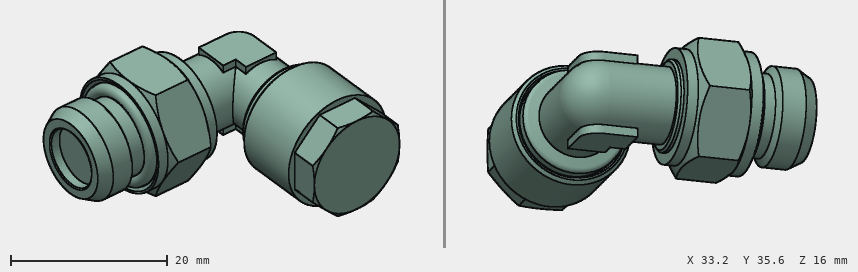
import cadquery as cq
import math


tube_radius = 5.02

pad_height = 5.5
pad_back = 2.53
pad_length = 4.52
pad_notch = 2.45

lip_start = 8.9
lip_radius = 6.0
lip_chamfer = 0.32
collar_start = 9.6
collar_radius = 7.5
hex_start = 11.05
hex_flats = 16.0
flange_start = 18.08
flange_end = 19.6
flange_radius = hex_flats / 2
recess_rim_radius = 7.7
recess_floor_radius = 7.15
recess_depth = 0.43
seal_end = 20.32
seal_thickness = 1.78
seal_radius = 7.15
neck_radius = 5.48
neck_end = 22.05
thread_radius = 6.5
thread_start = 22.7
thread_chamfer_start = 25.85
thread_tip_radius = 5.5
arm_end = 27.6
bore_radius = 4.1
bore_depth = 1.5
bore_chamfer = 0.18

shoulder_start = 8.75
shoulder_cone_end = 9.0
shoulder_cone_radius = 6.37
shoulder_round_end = 9.5
shoulder_radius = 6.95
nut_start = 10.5
nut_recess_radius = 7.22
nut_recess_depth = 0.35
nut_tip_radius = 7.5
nut_chamfer_end = 10.95
nut_radius = hex_flats / 2
nut_end = 20.0
octagon_flats = 14.0
octagon_end = 24.0
octagon_tip_radius = octagon_flats / 2
octagon_sides = 8

corner_chamfer_angle = 30
chamfer_slope = math.tan(math.radians(corner_chamfer_angle))


def turned_y(profile):
    """Solid turned about the threaded arm; profile holds (distance, radius) pairs."""
    points = [(radius, -distance) for distance, radius in profile]
    axis_points = [(0, points[-1][1]), (0, points[0][1])]
    outline = cq.Workplane("XY").polyline(points + axis_points).close()
    return outline.revolve(360, (0, 0, 0), (0, 1, 0))


def turned_x(profile):
    """Solid turned about the nut arm; profile holds (distance, radius) pairs."""
    axis_points = [(profile[-1][0], 0), (profile[0][0], 0)]
    outline = cq.Workplane("XY").polyline(profile + axis_points).close()
    return outline.revolve(360, (0, 0, 0), (1, 0, 0))


def elbow():
    """Two tubes joined by a ball at the corner."""
    ball = cq.Workplane("XY").sphere(tube_radius)
    tube_y = turned_y([(0, tube_radius), (lip_start, tube_radius)])
    tube_x = turned_x([(0, tube_radius), (shoulder_start, tube_radius)])
    return ball.union(tube_y).union(tube_x)


def wrench_pads():
    """L-shaped flats standing proud of the elbow on both sides."""
    arc_middle = pad_back * math.sqrt(0.5)
    return (
        cq.Workplane("XY")
        .workplane(offset=-pad_height)
        .moveTo(-pad_back, 0)
        .threePointArc((-arc_middle, arc_middle), (0, pad_back))
        .lineTo(pad_length, pad_back)
        .lineTo(pad_length, -pad_notch)
        .lineTo(pad_notch, -pad_notch)
        .lineTo(pad_notch, -pad_length)
        .lineTo(-pad_back, -pad_length)
        .close()
        .extrude(2 * pad_height)
    )


def hex_body():
    """Hexagon with flats facing +Z and -Z and its corners turned down at both ends."""
    corner_radius = hex_flats / math.sqrt(3)
    prism = (
        cq.Workplane("XZ")
        .workplane(offset=hex_start)
        .polygon(6, 2 * corner_radius)
        .extrude(flange_start - hex_start)
    )
    front_chamfer = (corner_radius - collar_radius) * chamfer_slope
    rear_chamfer = (corner_radius - flange_radius) * chamfer_slope
    envelope = turned_y([
        (hex_start, collar_radius),
        (hex_start + front_chamfer, corner_radius),
        (flange_start - rear_chamfer, corner_radius),
        (flange_start, flange_radius),
    ])
    return prism.intersect(envelope)


def seal_ring():
    """Round-section ring seated in the flange recess around the neck."""
    section_radius = seal_thickness / 2
    section = cq.Workplane("XY").moveTo(seal_radius - section_radius, section_radius - seal_end)
    return section.circle(section_radius).revolve(360, (0, 0, 0), (0, 1, 0))


def threaded_arm():
    """Lip, collar, hexagon, flange, sealing ring, neck and thread with a blind bore."""
    collars = turned_y([
        (lip_start, lip_radius - lip_chamfer),
        (lip_start + lip_chamfer, lip_radius),
        (collar_start, lip_radius),
        (collar_start, collar_radius),
        (hex_start, collar_radius),
    ])
    flange = turned_y([
        (flange_start, flange_radius),
        (flange_end, flange_radius),
        (flange_end, recess_rim_radius),
        (flange_end - recess_depth, recess_floor_radius),
    ])
    thread = turned_y([
        (flange_start, neck_radius),
        (neck_end, neck_radius),
        (thread_start, thread_radius),
        (thread_chamfer_start, thread_radius),
        (arm_end, thread_tip_radius),
    ])
    bore = turned_y([
        (arm_end - bore_depth, bore_radius),
        (arm_end - bore_chamfer, bore_radius),
        (arm_end, bore_radius + bore_chamfer),
    ])
    arm = collars.union(hex_body()).union(flange).union(thread).union(seal_ring())
    return arm.cut(bore)


def octagon_end_piece():
    """Octagon with flats facing Y and Z and its end corners turned down."""
    corner_radius = octagon_tip_radius / math.cos(math.pi / octagon_sides)
    prism = (
        cq.Workplane("YZ")
        .workplane(offset=nut_end)
        .polygon(octagon_sides, 2 * corner_radius)
        .extrude(octagon_end - nut_end)
        .rotate((0, 0, 0), (1, 0, 0), 180 / octagon_sides)
    )
    chamfer_length = (corner_radius - octagon_tip_radius) * chamfer_slope
    envelope = turned_x([
        (nut_end, corner_radius),
        (octagon_end - chamfer_length, corner_radius),
        (octagon_end, octagon_tip_radius),
    ])
    return prism.intersect(envelope)


def nut_arm():
    """Coned shoulder, round nut and octagon end."""
    shoulder_outline = (
        cq.Workplane("XY")
        .moveTo(shoulder_start, 0)
        .lineTo(shoulder_start, tube_radius)
        .lineTo(shoulder_cone_end, shoulder_cone_radius)
        .tangentArcPoint((shoulder_round_end, shoulder_radius), relative=False)
        .lineTo(nut_chamfer_end, shoulder_radius)
        .lineTo(nut_chamfer_end, 0)
        .close()
    )
    shoulder = shoulder_outline.revolve(360, (0, 0, 0), (1, 0, 0))
    nut = turned_x([
        (nut_start + nut_recess_depth, shoulder_radius),
        (nut_start, nut_recess_radius),
        (nut_start, nut_tip_radius),
        (nut_chamfer_end, nut_radius),
        (nut_end, nut_radius),
    ])
    return shoulder.union(nut).union(octagon_end_piece())


result = elbow().union(wrench_pads()).union(threaded_arm()).union(nut_arm())